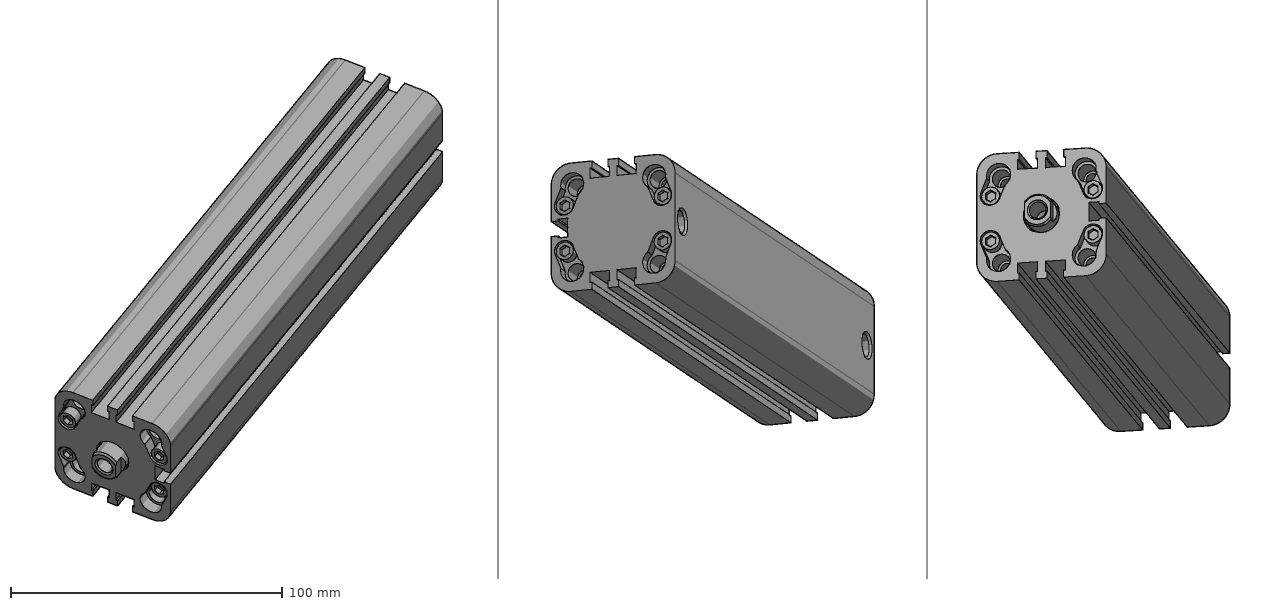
import cadquery as cq
import math

total_length = 210.2
section = 49.0
corner_radius = 7.8
rod_stickout = 6.5
body_length = total_length - rod_stickout
half_section = section / 2
half_body = body_length / 2

slot_depth = 6.5
slot_lip = 2.7
twin_slot_offset = 5.3
twin_slot_mouth = 6.3
twin_slot_width = 7.5
side_slot_mouth = 5.7
side_slot_width = 7.1

bolt_offset = 16.2
bolt_hole_diameter = 4.8
bolt_bore_diameter = 6.7
bolt_bore_depth = 13.9
pocket_diameter = 9.0
screw_x = 19.3
screw_z = 8.6
screw_seat_diameter = 7.5
screw_head_diameter = 6.7
pocket_depth = 4.6
screw_recess = 0.6
socket_diameter = 4.5
socket_depth = 2.0
socket_sides = 6
socket_turn = 180 / socket_sides

port_inset = 7.5
port_diameter = 8.6
port_chamfer = 0.8
port_depth = 9.5
passage_diameter = 2.5
passage_offset = 2.0
passage_depth = 3.2

rod_diameter = 12.5
rod_guide_diameter = 13.7
rod_guide_depth = 2.0
rod_chamfer_length = 0.8
rod_chamfer_width = 0.6
rod_across_flats = 9.9
flat_start = 2.5
thread_diameter = 6.3
thread_depth = 12.6
thread_chamfer = 0.6
drill_tip_angle = 118.0
drill_tip_flat = 1.7


def at_front(depth=0.0):
    """Sketch plane parallel to the -Y end face, sunk into the body by depth; it faces -Y."""
    return cq.Workplane("XZ", origin=(0, depth - half_body, 0))


def both_ends(shape):
    """The shape together with its mirror image at the other end of the body."""
    return shape.union(shape.mirror("XZ"))


def slot(mouth, width):
    """Undercut slot cutter in the +Z side, centred on X = 0."""
    lip = at_front().rect(mouth, 2 * slot_depth).extrude(-body_length)
    channel_height = slot_depth - slot_lip
    channel = (
        at_front()
        .center(0, -slot_lip - channel_height / 2)
        .rect(width, channel_height)
        .extrude(-body_length)
    )
    return lip.union(channel).translate((0, 0, half_section))


def make_body():
    body = at_front().rect(section, section).extrude(-body_length).edges("|Y").fillet(corner_radius)
    twin_slot = slot(twin_slot_mouth, twin_slot_width)
    for side in (-1, 1):
        top_slot = twin_slot.translate((side * twin_slot_offset, 0, 0))
        body = body.cut(top_slot).cut(top_slot.mirror("XY"))
    side_slot = slot(side_slot_mouth, side_slot_width).rotate((0, 0, 0), (0, 1, 0), 90)
    return body.cut(side_slot)


def corner_pocket():
    """Slotted pocket in the -Y end face around one bolt hole, with the screw head left standing."""
    bolt = at_front().center(bolt_offset, bolt_offset)
    rise = bolt_offset - screw_z
    run = bolt_offset - screw_x
    slot_length = math.hypot(rise, run) + screw_seat_diameter
    slot_angle = math.degrees(math.atan2(rise, run))
    middle = at_front().center((bolt_offset + screw_x) / 2, (bolt_offset + screw_z) / 2)
    pocket = middle.slot2D(slot_length, screw_seat_diameter, slot_angle).extrude(-pocket_depth)
    pocket = pocket.union(bolt.circle(pocket_diameter / 2).extrude(-pocket_depth))
    head = (
        at_front(screw_recess)
        .center(screw_x, screw_z)
        .circle(screw_head_diameter / 2)
        .extrude(screw_recess - pocket_depth)
    )
    socket = (
        at_front(screw_recess)
        .transformed(rotate=(0, 0, socket_turn), offset=(screw_x, screw_z, 0))
        .polygon(socket_sides, socket_diameter)
        .extrude(-socket_depth)
    )
    bore = bolt.circle(bolt_bore_diameter / 2).extrude(-bolt_bore_depth)
    return pocket.cut(head).union(socket).union(bore)


def make_corner_cutter():
    through_hole = at_front().center(bolt_offset, bolt_offset).circle(bolt_hole_diameter / 2)
    corner = both_ends(corner_pocket()).union(through_hole.extrude(-body_length))
    upper = corner.union(corner.mirror("YZ"))
    return upper.union(upper.mirror("XY"))


def make_port_cutter():
    """Chamfered port near each end, with an off-centre air passage in its floor."""
    port_y = port_inset - half_body
    side = cq.Workplane("YZ", origin=(-half_section, port_y, 0))
    port = side.circle(port_diameter / 2).extrude(port_depth)
    mouth = cq.Solid.makeCone(
        port_diameter / 2 + port_chamfer,
        port_diameter / 2,
        port_chamfer,
        cq.Vector(-half_section, port_y, 0),
        cq.Vector(1, 0, 0),
    )
    passage = side.center(passage_offset, 0).circle(passage_diameter / 2).extrude(port_depth + passage_depth)
    return both_ends(port.union(cq.Workplane(mouth)).union(passage))


def make_flat_cutter():
    """Cutter for the flat on the +X side; the flat runs out towards the body at 45 degrees."""
    flat_x = rod_across_flats / 2
    clear_x = rod_diameter
    start_y = -half_body - flat_start
    end_y = -half_body - 2 * rod_stickout
    outline = [
        (flat_x, end_y),
        (flat_x, start_y),
        (clear_x, start_y + clear_x - flat_x),
        (clear_x, end_y),
    ]
    return cq.Workplane("XY").polyline(outline).close().extrude(rod_diameter, both=True)


def make_rod():
    """Rod end starting at the floor of its guide recess, with two flats facing X."""
    rod_radius = rod_diameter / 2
    root_y = rod_guide_depth - half_body
    tip_y = -half_body - rod_stickout
    half_outline = [
        (0, root_y),
        (rod_radius, root_y),
        (rod_radius, tip_y + rod_chamfer_length),
        (rod_radius - rod_chamfer_width, tip_y),
        (0, tip_y),
    ]
    rod = cq.Workplane("XY").polyline(half_outline).close().revolve(360, (0, 0), (0, 1))
    flat = make_flat_cutter()
    return rod.cut(flat).cut(flat.mirror("YZ"))


def make_thread_hole():
    """Blind hole in the rod tip with a chamfered mouth and a conical drill point, blunt at its end."""
    radius = thread_diameter / 2
    mouth_y = -half_body - rod_stickout
    floor_y = mouth_y + thread_depth
    tip_height = (radius - drill_tip_flat / 2) / math.tan(math.radians(drill_tip_angle / 2))
    half_outline = [
        (0, mouth_y),
        (radius + thread_chamfer, mouth_y),
        (radius, mouth_y + thread_chamfer),
        (radius, floor_y),
        (drill_tip_flat / 2, floor_y + tip_height),
        (0, floor_y + tip_height),
    ]
    return cq.Workplane("XY").polyline(half_outline).close().revolve(360, (0, 0), (0, 1))


guide_recess = at_front().circle(rod_guide_diameter / 2).extrude(-rod_guide_depth)

result = (
    make_body()
    .cut(make_corner_cutter())
    .cut(make_port_cutter())
    .cut(guide_recess)
    .union(make_rod())
    .cut(make_thread_hole())
)